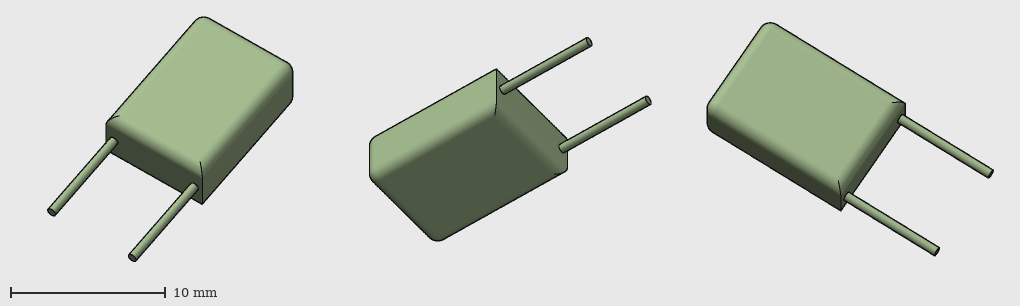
import cadquery as cq

OVERALL_LENGTH = 17.66
CASE_WIDTH = 7.61
CASE_THICKNESS = 4.08

LEAD_LENGTH = 7.0
LEAD_DIAMETER = 0.62
LEAD_PITCH = 6.35

CASE_LENGTH = OVERALL_LENGTH - LEAD_LENGTH
EDGE_RADIUS = 0.76


def make_case():
    """Box with its -Y face on the XZ plane, rounded all over except the upright edges at the lead end."""
    case = cq.Workplane("XY").box(
        CASE_WIDTH, CASE_LENGTH, CASE_THICKNESS, centered=(True, False, True)
    )
    face_outlines = cq.selectors.StringSyntaxSelector("#Z")
    rear_uprights = cq.selectors.StringSyntaxSelector("|Z and >Y")
    return case.edges(face_outlines + rear_uprights).fillet(EDGE_RADIUS)


def make_lead(x):
    """Round lead butting against the -Y face of the case and running toward -Y."""
    return cq.Workplane("XZ").center(x, 0).circle(LEAD_DIAMETER / 2).extrude(LEAD_LENGTH)


case = make_case()
leads = [make_lead(side * LEAD_PITCH / 2) for side in (-1, 1)]

result = cq.Compound.makeCompound([case.val(), *[lead.val() for lead in leads]])